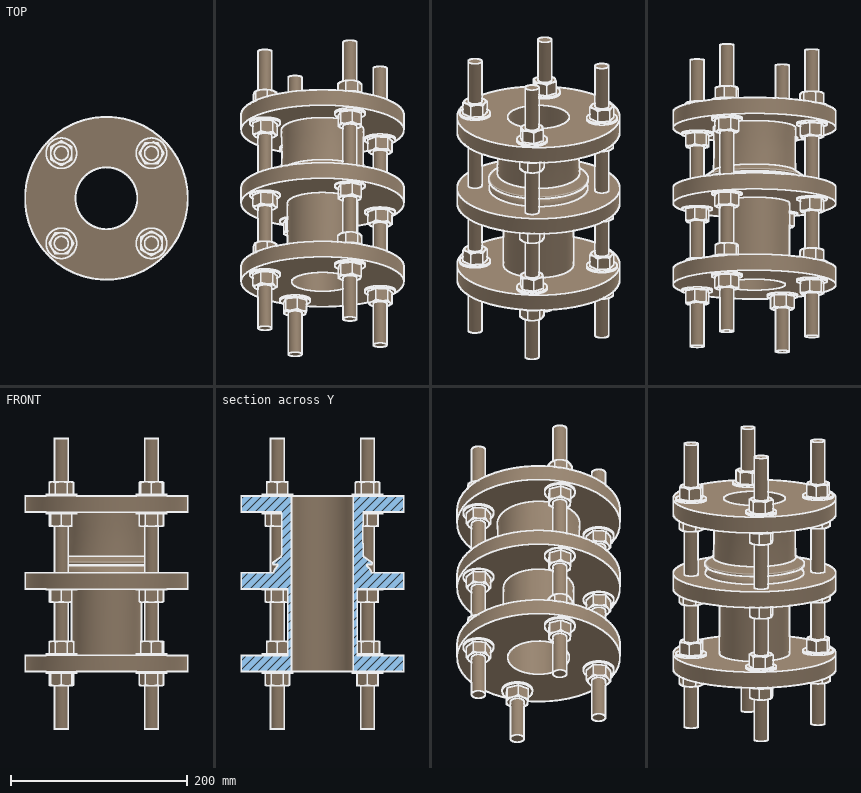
import cadquery as cq
import math

rod_length = 330.0
rod_diameter = 16.0
rod_offset = 51.0

flange_diameter = 185.0
flange_thickness = 18.5
bottom_flange_z = 65.5
top_flange_z = rod_length - bottom_flange_z - flange_thickness
middle_flange_z = 159.0
middle_flange_top = middle_flange_z + flange_thickness

bore_diameter = 70.0
pipe_diameter = 80.0

sleeve_end_radius = 47.0
sleeve_waist_radius = 46.2

gland_edge_radius = 55.8
gland_rim_radius = 56.8
gland_top_z = 196.0
gland_rim_top_z = 189.8
gland_rim_bottom_z = 186.8

bead_top_z = 185.5
bead_top_radius = 50.8
bead_base_radius = 56.0
bead_bulge = 0.5

nut_across_flats = 24.0
nut_height = 14.2
nut_chamfer_angle = 30.0
washer_diameter = 34.5
washer_thickness = 2.0
washer_recess = 1.0


def disc(diameter, bottom_z, height):
    """Solid cylinder on the main axis."""
    return cq.Workplane("XY").workplane(offset=bottom_z).circle(diameter / 2).extrude(height)


def make_sleeve_and_gland():
    """Revolved sleeve, gland ring and bead between the top and middle flanges."""
    waist_z = (gland_top_z + top_flange_z) / 2
    rim_mid_z = (gland_rim_top_z + gland_rim_bottom_z) / 2
    chord_r = bead_base_radius - bead_top_radius
    chord_z = bead_top_z - middle_flange_top
    chord = math.hypot(chord_r, chord_z)
    bead_mid_radius = (bead_top_radius + bead_base_radius) / 2 + bead_bulge * chord_z / chord
    bead_mid_z = (bead_top_z + middle_flange_top) / 2 + bead_bulge * chord_r / chord
    profile = (
        cq.Workplane("XZ")
        .moveTo(0, top_flange_z)
        .lineTo(sleeve_end_radius, top_flange_z)
        .threePointArc((sleeve_waist_radius, waist_z), (sleeve_end_radius, gland_top_z))
        .lineTo(gland_edge_radius, gland_rim_top_z)
        .threePointArc((gland_rim_radius, rim_mid_z), (gland_edge_radius, gland_rim_bottom_z))
        .lineTo(bead_top_radius, gland_rim_bottom_z)
        .lineTo(bead_top_radius, bead_top_z)
        .threePointArc((bead_mid_radius, bead_mid_z), (bead_base_radius, middle_flange_top))
        .lineTo(0, middle_flange_top)
        .close()
    )
    return profile.revolve(360, (0, 0, 0), (0, 1, 0))


def make_nut(corner_angle):
    """Hexagon nut standing on its base at the origin, corners chamfered at the top."""
    corner_radius = nut_across_flats / math.sqrt(3)
    chamfer_height = (corner_radius - nut_across_flats / 2) * math.tan(math.radians(nut_chamfer_angle))
    hexagon = cq.Workplane("XY").polygon(6, 2 * corner_radius).extrude(nut_height)
    envelope = (
        cq.Workplane("XZ")
        .lineTo(corner_radius, 0)
        .lineTo(corner_radius, nut_height - chamfer_height)
        .lineTo(nut_across_flats / 2, nut_height)
        .lineTo(0, nut_height)
        .close()
        .revolve(360, (0, 0, 0), (0, 1, 0))
    )
    return hexagon.intersect(envelope).rotate((0, 0, 0), (0, 0, 1), corner_angle)


def make_fastener(corner_angle, recess, points_up):
    """Washer and nut seated on the plane z = 0, with the washer sunk by the recess."""
    washer = disc(washer_diameter, 0, washer_thickness)
    nut = make_nut(corner_angle).translate((0, 0, washer_thickness))
    fastener = washer.union(nut).translate((0, 0, -recess))
    if points_up:
        return fastener
    return fastener.rotate((0, 0, 0), (1, 0, 0), 180)


body = disc(pipe_diameter, bottom_flange_z, top_flange_z + flange_thickness - bottom_flange_z)
for flange_z in (bottom_flange_z, middle_flange_z, top_flange_z):
    body = body.union(disc(flange_diameter, flange_z, flange_thickness))
body = body.union(make_sleeve_and_gland())

seats = [
    (bottom_flange_z, 0, False),
    (bottom_flange_z + flange_thickness, 0, True),
    (middle_flange_z, washer_recess, False),
    (top_flange_z, 0, False),
    (top_flange_z + flange_thickness, 0, True),
]

for side_x in (-1, 1):
    for side_y in (-1, 1):
        corner = (side_x * rod_offset, side_y * rod_offset, 0)
        body = body.union(disc(rod_diameter, 0, rod_length).translate(corner))
        for seat_z, recess, points_up in seats:
            corner_along_x = (side_x == side_y) == points_up
            corner_angle = 0 if corner_along_x else 90
            fastener = make_fastener(corner_angle, recess, points_up)
            body = body.union(fastener.translate(corner).translate((0, 0, seat_z)))

result = body.cut(disc(bore_diameter, 0, rod_length))